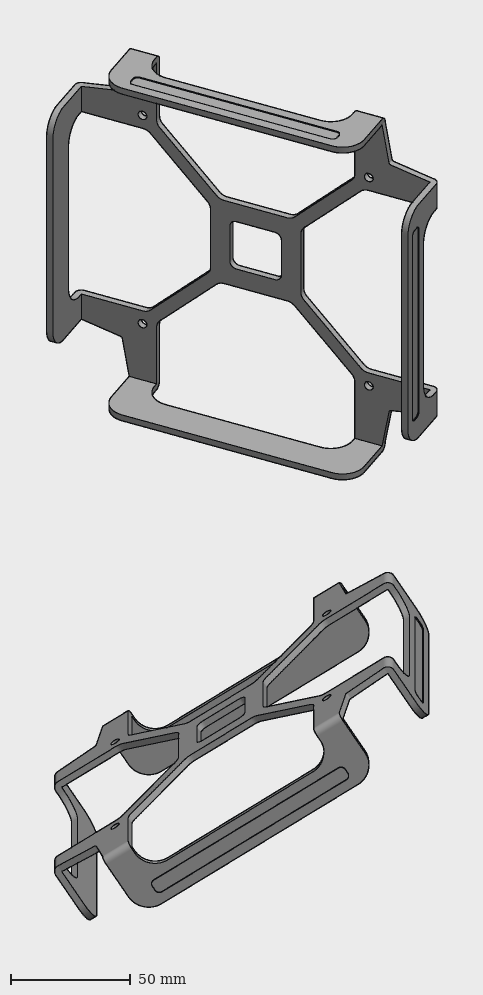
import cadquery as cq
import math

SIZE = 168.0
DEPTH = 30.0
THICKNESS = 3.0
BEND_RADIUS = THICKNESS

HUB_HALF = 21.0
WINDOW_SIDE = 23.9
WINDOW_RADIUS = 3.0
STRUT_WIDTH = 6.0
STRUT_FILLET = 5.0
LEG_OUTER = 58.8
LEG_INNER = 46.0
NOTCH_TAPER = 10.0
NOTCH_FILLET = 1.0
HOLE_OFFSET = 52.5
HOLE_DIAMETER = 4.0

BAR_WIDTH = 15.0
FLANGE_RADIUS = 10.0
GROOVE_LENGTH = 95.8
GROOVE_WIDTH = 6.2
GROOVE_RADIUS = 2.0
GROOVE_DEPTH = 0.5

HALF = SIZE / 2
INNER_FACE = HALF - THICKNESS
FRONT = -DEPTH / 2
BACK = DEPTH / 2
QUARTER_TURNS = (0, 90, 180, 270)


def spin(body, angle):
    """Turn a body about the Y axis through the centre of the plate."""
    return body.rotate((0, 0, 0), (0, 1, 0), angle)


def plate_prism(points):
    """Extrude an X-Z outline from the back of the plate to its front."""
    return cq.Workplane("XZ", origin=(0, BACK, 0)).polyline(points).close().extrude(THICKNESS)


def side_opening():
    """Trapezoid gap between the hub, two struts and the top flange."""
    strut_shift = STRUT_WIDTH / math.sqrt(2)
    hub_x = HUB_HALF - strut_shift
    leg_z = LEG_INNER + strut_shift
    opening = plate_prism([
        (-hub_x, HUB_HALF),
        (hub_x, HUB_HALF),
        (LEG_INNER, leg_z),
        (LEG_INNER, HALF),
        (-LEG_INNER, HALF),
        (-LEG_INNER, leg_z),
    ])
    return opening.edges("|Y").edges("not(>Z)").fillet(STRUT_FILLET)


def corner_notch():
    """Tapered V cut from the upper right corner of the plate."""
    slope = math.tan(math.radians(NOTCH_TAPER))
    apex = (LEG_OUTER + slope * INNER_FACE) / (1 + slope)
    notch = plate_prism([
        (apex, apex),
        (INNER_FACE, LEG_OUTER),
        (HALF, LEG_OUTER),
        (HALF, HALF),
        (LEG_OUTER, HALF),
        (LEG_OUTER, INNER_FACE),
    ])
    apex_edge = cq.selectors.NearestToPointSelector((apex, BACK - THICKNESS / 2, apex))
    return notch.edges(apex_edge).fillet(NOTCH_FILLET)


def plate():
    """Flat back plate with hub window, side openings, notches and holes."""
    body = cq.Workplane("XY").box(SIZE, THICKNESS, SIZE).translate((0, BACK - THICKNESS / 2, 0))
    window = cq.Workplane("XY").box(WINDOW_SIDE, DEPTH, WINDOW_SIDE)
    window = window.edges("|Y").fillet(WINDOW_RADIUS).translate((0, BACK, 0))
    body = body.cut(window)
    hole = (
        cq.Workplane("XZ", origin=(HOLE_OFFSET, BACK, HOLE_OFFSET))
        .circle(HOLE_DIAMETER / 2)
        .extrude(THICKNESS)
    )
    for cutter in (side_opening(), corner_notch(), hole):
        for angle in QUARTER_TURNS:
            body = body.cut(spin(cutter, angle))
    return body


def flange():
    """U-shaped top flange with a shallow groove along the outside of its bar."""
    base = cq.Workplane("XY", origin=(0, 0, INNER_FACE))
    body = base.rect(2 * LEG_OUTER, DEPTH).extrude(THICKNESS)
    body = body.edges("|Z and <Y").fillet(FLANGE_RADIUS)
    bar_inner = FRONT + BAR_WIDTH
    gap_depth = BACK - bar_inner
    gap = base.center(0, bar_inner + gap_depth / 2).rect(2 * LEG_INNER, gap_depth).extrude(THICKNESS)
    body = body.cut(gap.edges("|Z and <Y").fillet(FLANGE_RADIUS))
    groove = (
        cq.Workplane("XY", origin=(0, FRONT + BAR_WIDTH / 2, HALF - GROOVE_DEPTH))
        .rect(GROOVE_LENGTH, GROOVE_WIDTH)
        .extrude(GROOVE_DEPTH)
        .edges("|Z")
        .fillet(GROOVE_RADIUS)
    )
    return body.cut(groove)


def bend_rounding():
    """Material outside the rounded bend along the top back edge."""
    block = (
        cq.Workplane("XY")
        .box(SIZE, BEND_RADIUS, BEND_RADIUS)
        .translate((0, BACK - BEND_RADIUS / 2, HALF - BEND_RADIUS / 2))
    )
    bend = (
        cq.Workplane("YZ", origin=(-HALF, BACK - BEND_RADIUS, HALF - BEND_RADIUS))
        .circle(BEND_RADIUS)
        .extrude(SIZE)
    )
    return block.cut(bend)


result = plate()
for turn in QUARTER_TURNS:
    result = result.union(spin(flange(), turn))
for turn in QUARTER_TURNS:
    result = result.cut(spin(bend_rounding(), turn))